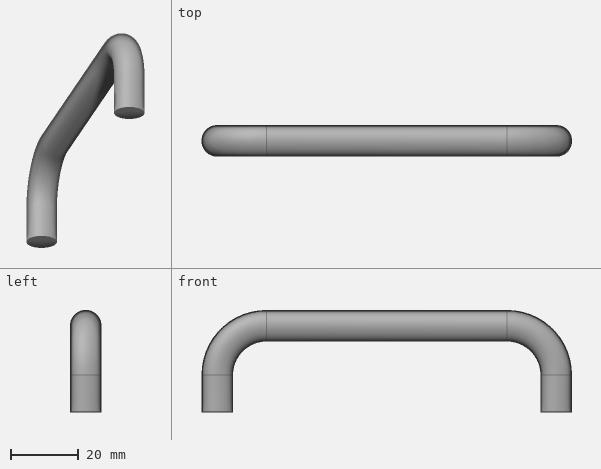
import cadquery as cq

bar_diameter = 9.0
leg_spacing = 100.0
overall_height = 30.0
inner_bend_radius = 10.0

bar_radius = bar_diameter / 2
bend_radius = inner_bend_radius + bar_radius
leg_x = leg_spacing / 2
grip_axis_z = overall_height - bar_radius
leg_length = grip_axis_z - bend_radius
grip_end_x = leg_x - bend_radius


def make_bar_axis():
    """Centre line from the left foot, over the grip, to the right foot."""
    return (
        cq.Workplane("XZ")
        .moveTo(-leg_x, 0)
        .lineTo(-leg_x, leg_length)
        .tangentArcPoint((-grip_end_x, grip_axis_z), relative=False)
        .lineTo(grip_end_x, grip_axis_z)
        .tangentArcPoint((leg_x, leg_length), relative=False)
        .lineTo(leg_x, 0)
    )


def make_handle():
    """Round section swept along the bar axis."""
    foot_section = cq.Workplane("XY").center(-leg_x, 0).circle(bar_radius)
    return foot_section.sweep(make_bar_axis())


result = make_handle()